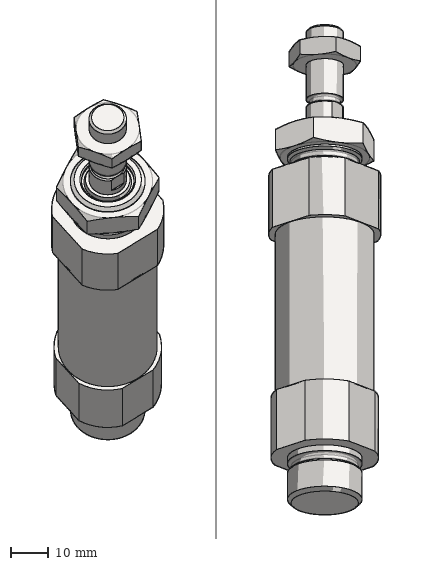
import cadquery as cq
import math

rear_cap_bottom = 12.9
rear_cap_top = 30.0
front_cap_bottom = 76.9
front_cap_top = 93.5
nose_top = 106.8
rod_tip = 135.4

tube_diameter = 26.5
cap_across_flats = 27.0
front_cap_diameter = 30.0
rear_cap_diameter = 28.8
thread_diameter = 20.0
thread_tip_diameter = 18.0
thread_tip_chamfer = (thread_diameter - thread_tip_diameter) / 2
relief_rim_diameter = 18.7
relief_rim_chamfer = (thread_diameter - relief_rim_diameter) / 2
relief_diameter = 18.0
rear_collar_height = 1.6
rear_relief_fillet = 0.8
rear_thread_top = 8.5
nose_collar_height = 1.8
nose_thread_bottom = 98.5

recess_diameter = 14.1
recess_mouth_chamfer = 0.4
recess_depth = 1.1
lip_top_diameter = 11.9
lip_base_diameter = 12.7

rod_diameter = 10.0
rod_tip_diameter = 8.7
rod_tip_chamfer = (rod_diameter - rod_tip_diameter) / 2
rod_relief_diameter = 8.4
rod_thread_bottom = 115.5
rod_relief_fillet = 0.5
rod_shoulder_diameter = 9.2
rod_shoulder_chamfer = (rod_diameter - rod_shoulder_diameter) / 2
rod_shoulder_top = 113.6
wrench_across_flats = 9.1
wrench_flat_bottom = 108.7
rod_bottom = front_cap_bottom

rod_nut_across_corners = 19.6
rod_nut_thickness = 5.0
rod_nut_bottom = 125.4
mounting_nut_across_corners = 27.8
mounting_nut_thickness = 7.0
mounting_nut_bottom = 99.0
nut_chamfer_angle = 18.0


def disc(diameter, bottom, top):
    """A cylinder on the Z axis between two levels."""
    return cq.Workplane("XY").workplane(offset=bottom).circle(diameter / 2).extrude(top - bottom)


def flatted_cap(diameter, bottom, top):
    """A round cap with four flats, facing +X, -X, +Y and -Y."""
    flats = (
        cq.Workplane("XY")
        .workplane(offset=bottom)
        .rect(cap_across_flats, cap_across_flats)
        .extrude(top - bottom)
    )
    return disc(diameter, bottom, top).intersect(flats)


def rear_stud():
    """Threaded rear stud: end chamfer, thread, relief groove and collar, revolved about Z."""
    collar_bottom = rear_cap_bottom - rear_collar_height
    relief_radius = relief_diameter / 2
    rim_radius = relief_rim_diameter / 2
    rim_fillet = rim_radius - relief_radius
    rim_top = rear_thread_top + relief_rim_chamfer
    return (
        cq.Workplane("XZ")
        .moveTo(0, 0)
        .lineTo(thread_tip_diameter / 2, 0)
        .lineTo(thread_diameter / 2, thread_tip_chamfer)
        .lineTo(thread_diameter / 2, rear_thread_top)
        .lineTo(rim_radius, rim_top)
        .radiusArc((relief_radius, rim_top + rim_fillet), rim_fillet)
        .lineTo(relief_radius, collar_bottom - rear_relief_fillet)
        .radiusArc((relief_radius + rear_relief_fillet, collar_bottom), rear_relief_fillet)
        .lineTo(thread_diameter / 2, collar_bottom)
        .lineTo(thread_diameter / 2, rear_cap_bottom)
        .lineTo(0, rear_cap_bottom)
        .close()
        .revolve(360, (0, 0, 0), (0, 1, 0))
    )


def nose():
    """Threaded nose: collar, relief groove with chamfered rims, thread, end chamfer and wiper recess."""
    collar_top = front_cap_top + nose_collar_height
    relief_radius = relief_diameter / 2
    rim_radius = relief_rim_diameter / 2
    rim_fillet = rim_radius - relief_radius
    lower_rim = collar_top + relief_rim_chamfer
    upper_rim = nose_thread_bottom - relief_rim_chamfer
    recess_floor = nose_top - recess_depth
    return (
        cq.Workplane("XZ")
        .moveTo(0, front_cap_top)
        .lineTo(thread_diameter / 2, front_cap_top)
        .lineTo(thread_diameter / 2, collar_top)
        .lineTo(rim_radius, lower_rim)
        .radiusArc((relief_radius, lower_rim + rim_fillet), rim_fillet)
        .lineTo(relief_radius, upper_rim - rim_fillet)
        .radiusArc((rim_radius, upper_rim), rim_fillet)
        .lineTo(thread_diameter / 2, nose_thread_bottom)
        .lineTo(thread_diameter / 2, nose_top - thread_tip_chamfer)
        .lineTo(thread_tip_diameter / 2, nose_top)
        .lineTo(recess_diameter / 2 + recess_mouth_chamfer, nose_top)
        .lineTo(recess_diameter / 2, nose_top - recess_mouth_chamfer)
        .lineTo(recess_diameter / 2, recess_floor)
        .lineTo(lip_base_diameter / 2, recess_floor)
        .lineTo(lip_top_diameter / 2, nose_top)
        .lineTo(0, nose_top)
        .close()
        .revolve(360, (0, 0, 0), (0, 1, 0))
    )


def make_housing():
    """Cylinder housing: rear stud, rear cap, tube, front cap and nose, bored for the rod."""
    return (
        disc(tube_diameter, rear_cap_top, front_cap_bottom)
        .union(flatted_cap(rear_cap_diameter, rear_cap_bottom, rear_cap_top))
        .union(flatted_cap(front_cap_diameter, front_cap_bottom, front_cap_top))
        .union(rear_stud())
        .union(nose())
        .cut(disc(rod_diameter, rod_bottom, nose_top))
    )


def make_rod():
    """Piston rod with two wrench flats, a thread relief groove and a chamfered tip."""
    rod_radius = rod_diameter / 2
    relief_radius = rod_relief_diameter / 2
    shoulder_radius = rod_shoulder_diameter / 2
    shoulder_fillet = shoulder_radius - relief_radius
    rod = (
        cq.Workplane("XZ")
        .moveTo(0, rod_bottom)
        .lineTo(rod_radius, rod_bottom)
        .lineTo(rod_radius, rod_shoulder_top - rod_shoulder_chamfer)
        .lineTo(shoulder_radius, rod_shoulder_top)
        .radiusArc((relief_radius, rod_shoulder_top + shoulder_fillet), shoulder_fillet)
        .lineTo(relief_radius, rod_thread_bottom - rod_relief_fillet)
        .radiusArc((relief_radius + rod_relief_fillet, rod_thread_bottom), rod_relief_fillet)
        .lineTo(rod_radius, rod_thread_bottom)
        .lineTo(rod_radius, rod_tip - rod_tip_chamfer)
        .lineTo(rod_tip_diameter / 2, rod_tip)
        .lineTo(0, rod_tip)
        .close()
        .revolve(360, (0, 0, 0), (0, 1, 0))
    )
    flat_depth = (rod_diameter - wrench_across_flats) / 2
    flat_height = rod_shoulder_top - wrench_flat_bottom
    for side in (-1, 1):
        flat_cut = cq.Workplane("XY").box(flat_depth, rod_diameter, flat_height).translate(
            (side * (wrench_across_flats + flat_depth) / 2, 0, wrench_flat_bottom + flat_height / 2)
        )
        rod = rod.cut(flat_cut)
    return rod


def make_hex_nut(across_corners, bore_diameter, bottom, thickness, corner_angle):
    """Hexagon nut with both rims chamfered; corner_angle turns a corner away from the X axis."""
    corner_radius = across_corners / 2
    rim_radius = corner_radius * math.cos(math.radians(30))
    drop = (corner_radius - rim_radius) * math.tan(math.radians(nut_chamfer_angle))
    hexagon = (
        cq.Workplane("XY")
        .polygon(6, across_corners)
        .extrude(thickness)
        .rotate((0, 0, 0), (0, 0, 1), corner_angle)
    )
    rim_envelope = (
        cq.Workplane("XZ")
        .moveTo(0, 0)
        .lineTo(rim_radius, 0)
        .lineTo(corner_radius, drop)
        .lineTo(corner_radius, thickness - drop)
        .lineTo(rim_radius, thickness)
        .lineTo(0, thickness)
        .close()
        .revolve(360, (0, 0, 0), (0, 1, 0))
    )
    bore = disc(bore_diameter, 0, thickness)
    return hexagon.intersect(rim_envelope).cut(bore).translate((0, 0, bottom))


housing = make_housing()
rod = make_rod()
rod_nut = make_hex_nut(rod_nut_across_corners, rod_diameter, rod_nut_bottom, rod_nut_thickness, 30)
mounting_nut = make_hex_nut(
    mounting_nut_across_corners, thread_diameter, mounting_nut_bottom, mounting_nut_thickness, 0
)

result = cq.Compound.makeCompound([housing.val(), rod.val(), rod_nut.val(), mounting_nut.val()])